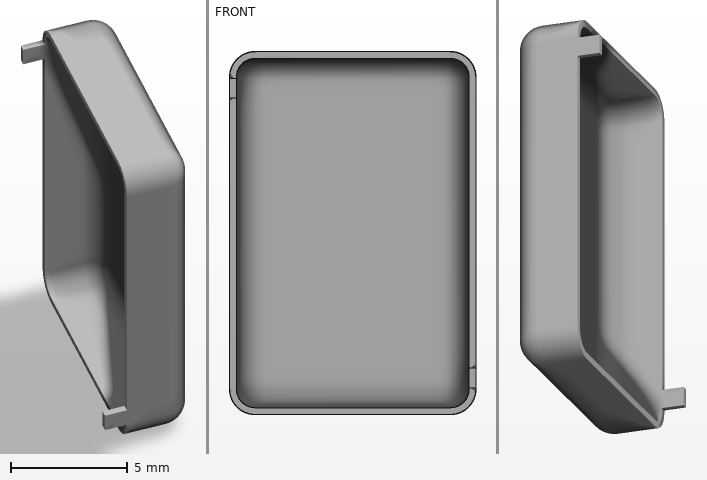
import cadquery as cq

width = 10.6
height = 15.6
depth = 3.0
wall = 0.3
outer_radius = 1.1
inner_radius = outer_radius - wall

tab_length = 1.0
tab_height = 0.85
tab_offset = 1.15


def rounded_block(size_x, size_z, front_y, back_y, radius):
    """Block with rounded Y edges and a rounded back face."""
    block = cq.Workplane("XY").box(size_x, back_y - front_y, size_z)
    block = block.translate((0, (front_y + back_y) / 2, 0))
    return block.edges("|Y").fillet(radius).faces(">Y").edges().fillet(radius)


def tab(side, end):
    """Tab on the side (-1 or 1 in X) wall near the end (-1 or 1 in Z)."""
    root = wall
    center_x = side * (width - wall) / 2
    center_y = (root - tab_length) / 2
    center_z = end * (height / 2 - tab_offset - tab_height / 2)
    return cq.Workplane("XY").box(wall, tab_length + root, tab_height).translate(
        (center_x, center_y, center_z)
    )


shell = rounded_block(width, height, 0, depth, outer_radius)
cavity = rounded_block(width - 2 * wall, height - 2 * wall, 0, depth - wall, inner_radius)
result = shell.cut(cavity)

for side in (-1, 1):
    result = result.union(tab(side, -side))